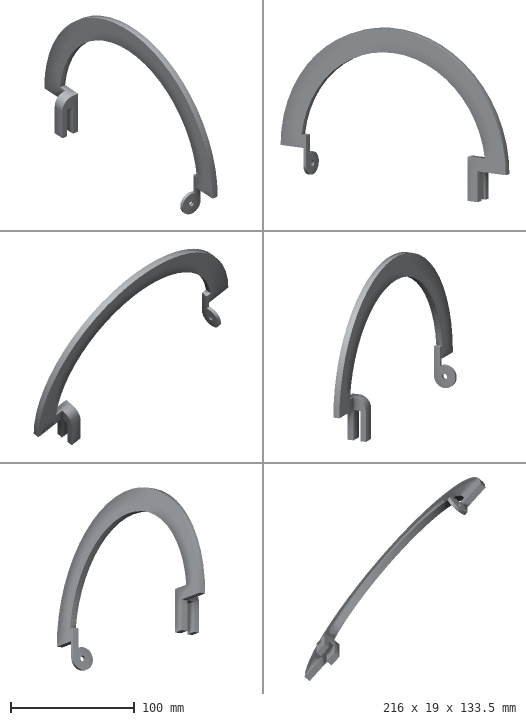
import cadquery as cq

outer_radius = 108.0
inner_radius = 88.5
plate_thickness = 5.5
foot_height = 10.8

clevis_left = -81.0
clevis_width = 10.0
clevis_gap = 6.3
front_leg_thickness = 4.7
clevis_bottom = -25.5
clevis_bend_radius = 10.4
clevis_depth = plate_thickness + clevis_gap + front_leg_thickness

ear_left = 83.3
ear_thickness = 2.8
ear_radius = 9.5
ear_center_z = -13.8
pivot_hole_diameter = 4.7


def block(x_start, x_end, depth_start, depth_end, z_start, z_end):
    """Box whose depths are measured from the plate's back face toward -Y."""
    return cq.Workplane("XY").box(
        x_end - x_start, depth_end - depth_start, z_end - z_start, centered=False
    ).translate((x_start, -depth_end, z_start))


def half_ring():
    """Half annulus whose two feet are filled in by the end parts."""
    ring = cq.Workplane("XZ").circle(outer_radius).circle(inner_radius).extrude(plate_thickness)
    upper_half = block(-outer_radius, outer_radius, 0, plate_thickness, 0, outer_radius)
    return ring.intersect(upper_half)


def clevis():
    """Foot and two downward legs, joined over the gap by a rounded bridge."""
    clevis_right = clevis_left + clevis_width
    foot = block(-inner_radius, clevis_right, 0, plate_thickness, 0, foot_height)
    body = block(clevis_left, clevis_right, 0, clevis_depth, clevis_bottom, foot_height)
    body = body.faces("<Y").edges(">Z").fillet(clevis_bend_radius)
    gap_end = plate_thickness + clevis_gap
    gap = block(clevis_left, clevis_right, plate_thickness, gap_end, clevis_bottom, 0)
    return body.cut(gap).union(foot)


def pivot_ear():
    """Foot and thin strip ending in a drilled disc, flush with the plate's back."""
    ear_right = ear_left + ear_thickness
    foot = block(ear_left, inner_radius, 0, plate_thickness, 0, foot_height)
    strip = block(ear_left, ear_right, 0, plate_thickness, ear_center_z, foot_height)
    disc_plane = cq.Workplane("YZ", origin=(ear_left, -ear_radius, ear_center_z))
    disc = disc_plane.circle(ear_radius).extrude(ear_thickness)
    hole = disc_plane.circle(pivot_hole_diameter / 2).extrude(ear_thickness)
    return foot.union(strip).union(disc).cut(hole)


result = half_ring().union(clevis()).union(pivot_ear())